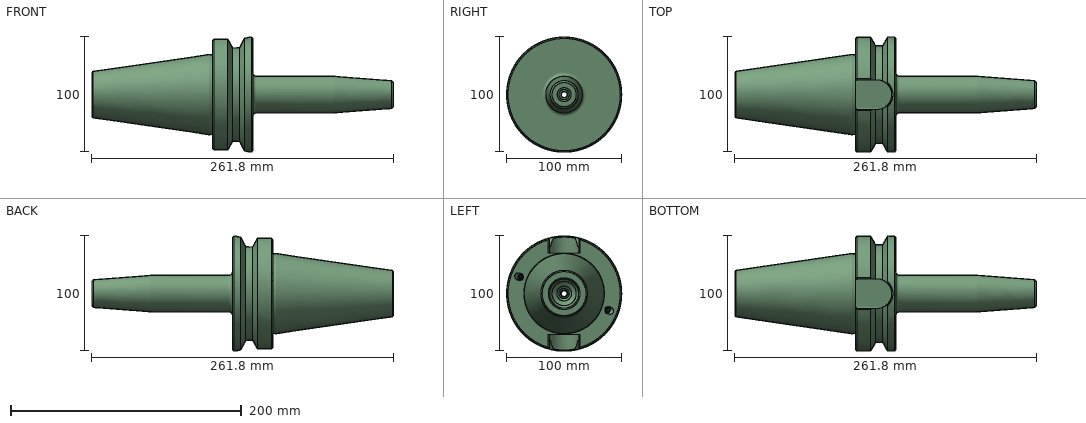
import cadquery as cq
import math


total_length = 261.8
taper_large_dia = 70.0
taper_length = 101.8
taper_ratio = 7 / 24
taper_end_chamfer = 1.0
relief_dia = 69.5
relief_run = 1.8

flange_dia = 100.0
flange_start = 104.7
flange_end = 139.8
flange_chamfer = 1.3
groove_root_dia = 85.0
groove_root_start = 122.3
groove_root_end = 128.3
groove_flank_angle = 30.0

neck_dia = 32.0
neck_fillet = 3.1
nose_start = 210.5
nose_dia = 24.0
nose_chamfer = 1.5

mouth_dia = 27.5
entry_half_angle = 30.0
counterbore_dia = 25.1
counterbore_depth = 11.5
thread_bore_dia = 21.0
thread_bore_depth = 62.8
drill_tip_half_angle = 59.0
pilot_bore_dia = 12.8
pilot_bore_depth = 131.0
coolant_bore_dia = 9.0
tool_bore_dia = 12.0
tool_bore_depth = 47.0

slot_width = 25.7
slot_floor_height = 35.3
slot_end = 136.1
slot_floor_fillet = 0.8
slot_rim_chamfer = 1.0

port_dia = 6.3
port_depth = 15.7
port_circle_radius = 42.0
port_angle = 20.6
port_tilt = 35.0

port_screw_recess = 3.0
port_screw_length = 6.5
port_screw_chamfer = 0.5
port_socket_width = 3.0
port_socket_depth = 2.5
socket_sides = 6

adjusting_screw_length = 13.0
adjusting_screw_hole_dia = 5.0
adjusting_screw_countersink_dia = 6.3

overcut = 2.5
tolerance = 0.03


def revolve_about_x(points):
    """Solid of revolution about the X axis from (x, radius) points."""
    return cq.Workplane("XY").polyline(points).close().revolve(360, (0, 0, 0), (1, 0, 0))


def make_outer_form():
    """Taper shank, grooved flange, neck and nose."""
    taper_small_radius = taper_large_dia / 2 - taper_length * taper_ratio / 2
    taper_chamfer_radius = taper_small_radius + taper_end_chamfer * taper_ratio / 2
    flange_radius = flange_dia / 2
    groove_root_radius = groove_root_dia / 2
    flank_run = (flange_radius - groove_root_radius) * math.tan(math.radians(groove_flank_angle))
    neck_radius = neck_dia / 2
    nose_radius = nose_dia / 2
    nose_slope = (neck_radius - nose_radius) / (total_length - nose_start)
    fillet_middle = neck_fillet * (1 - math.sqrt(0.5))
    profile = (
        cq.Workplane("XY")
        .moveTo(0, 0)
        .lineTo(0, taper_small_radius - taper_end_chamfer)
        .lineTo(taper_end_chamfer, taper_chamfer_radius)
        .lineTo(taper_length, taper_large_dia / 2)
        .lineTo(taper_length + relief_run, relief_dia / 2)
        .lineTo(flange_start, relief_dia / 2)
        .lineTo(flange_start, flange_radius - flange_chamfer)
        .lineTo(flange_start + flange_chamfer, flange_radius)
        .lineTo(groove_root_start - flank_run, flange_radius)
        .lineTo(groove_root_start, groove_root_radius)
        .lineTo(groove_root_end, groove_root_radius)
        .lineTo(groove_root_end + flank_run, flange_radius)
        .lineTo(flange_end - flange_chamfer, flange_radius)
        .lineTo(flange_end, flange_radius - flange_chamfer)
        .lineTo(flange_end, neck_radius + neck_fillet)
        .threePointArc(
            (flange_end + fillet_middle, neck_radius + fillet_middle),
            (flange_end + neck_fillet, neck_radius),
        )
        .lineTo(nose_start, neck_radius)
        .lineTo(total_length - nose_chamfer, nose_radius + nose_slope * nose_chamfer)
        .lineTo(total_length, nose_radius - nose_chamfer)
        .lineTo(total_length, 0)
        .close()
    )
    return profile.revolve(360, (0, 0, 0), (1, 0, 0))


def make_axial_bore():
    """Stepped bore that runs from the shank mouth through to the nose."""
    entry_slope = math.tan(math.radians(entry_half_angle))
    mouth_length = (mouth_dia - counterbore_dia) / 2 / entry_slope
    counterbore_cone = (counterbore_dia - thread_bore_dia) / 2 / entry_slope
    drill_tip_slope = math.tan(math.radians(drill_tip_half_angle))
    thread_drill_tip = (thread_bore_dia - pilot_bore_dia) / 2 / drill_tip_slope
    pilot_drill_tip = (pilot_bore_dia - coolant_bore_dia) / 2 / drill_tip_slope
    tool_bore_start = total_length - tool_bore_depth
    return revolve_about_x(
        [
            (0, 0),
            (0, mouth_dia / 2),
            (mouth_length, counterbore_dia / 2),
            (counterbore_depth, counterbore_dia / 2),
            (counterbore_depth + counterbore_cone, thread_bore_dia / 2),
            (thread_bore_depth, thread_bore_dia / 2),
            (thread_bore_depth + thread_drill_tip, pilot_bore_dia / 2),
            (pilot_bore_depth, pilot_bore_dia / 2),
            (pilot_bore_depth + pilot_drill_tip, coolant_bore_dia / 2),
            (tool_bore_start, coolant_bore_dia / 2),
            (tool_bore_start, tool_bore_dia / 2),
            (total_length, tool_bore_dia / 2),
            (total_length, 0),
        ]
    )


def make_drive_slot():
    """Cutter for the top drive slot: round inner end, filleted floor."""
    slot_radius = slot_width / 2
    arc_center = slot_end - slot_radius
    slot_start = flange_start - overcut
    return (
        cq.Workplane("XY", origin=(0, 0, slot_floor_height))
        .moveTo(slot_start, -slot_radius)
        .lineTo(arc_center, -slot_radius)
        .threePointArc((slot_end, 0), (arc_center, slot_radius))
        .lineTo(slot_start, slot_radius)
        .close()
        .extrude(flange_dia / 2 - slot_floor_height + overcut)
        .faces("<Z")
        .edges("not <X")
        .fillet(slot_floor_fillet)
    )


def make_slot_lead_in():
    """Cutter that chamfers the top slot's walls where they meet the flange's rear face."""
    slot_radius = slot_width / 2
    outline = [
        (flange_start, -slot_radius - slot_rim_chamfer),
        (flange_start + slot_rim_chamfer, -slot_radius),
        (flange_start + slot_rim_chamfer, slot_radius),
        (flange_start, slot_radius + slot_rim_chamfer),
    ]
    return (
        cq.Workplane("XY", origin=(0, 0, slot_floor_height))
        .polyline(outline)
        .close()
        .extrude(flange_dia / 2)
    )


def is_slot_rim(edge):
    """True for an edge where a drive slot breaks out through a cylindrical land of the flange."""
    box = edge.BoundingBox()
    land_height = math.sqrt((flange_dia**2 - slot_width**2) / 4)
    is_inside_slot = max(-box.ymin, box.ymax) < slot_width / 2 + tolerance
    is_at_land = min(abs(box.zmin), abs(box.zmax)) > land_height - tolerance
    is_inside_flange = flange_start < box.xmin and box.xmax < slot_end + tolerance
    return is_inside_slot and is_at_land and is_inside_flange


def place_at_port(shape, angle):
    """Move a shape built along +Z from the origin onto the port at an angle about the X axis."""
    return (
        shape.rotate((0, 0, 0), (0, 1, 0), 90)
        .rotate((0, 0, 0), (0, 0, 1), -port_tilt)
        .translate((flange_start, port_circle_radius, 0))
        .rotate((0, 0, 0), (1, 0, 0), angle)
    )


def make_port():
    """Cutter for one coolant port, built along +Z with its mouth at the origin."""
    return (
        cq.Workplane("XY", origin=(0, 0, -overcut))
        .circle(port_dia / 2)
        .extrude(overcut + port_depth)
    )


def make_port_screw():
    """Headless socket screw that closes one coolant port."""
    socket_corner_dia = port_socket_width / math.cos(math.pi / socket_sides)
    return (
        cq.Workplane("XY", origin=(0, 0, port_screw_recess))
        .circle(port_dia / 2)
        .extrude(port_screw_length)
        .faces("<Z")
        .chamfer(port_screw_chamfer)
        .faces("<Z")
        .workplane()
        .polygon(socket_sides, socket_corner_dia)
        .cutBlind(-port_socket_depth)
    )


def make_adjusting_screw():
    """Hollow screw that fills the coolant bore just behind the tool bore."""
    screw_start = total_length - tool_bore_depth - adjusting_screw_length
    countersink = (adjusting_screw_countersink_dia - adjusting_screw_hole_dia) / 2
    return (
        cq.Workplane("YZ", origin=(screw_start, 0, 0))
        .circle(coolant_bore_dia / 2)
        .circle(adjusting_screw_hole_dia / 2)
        .extrude(adjusting_screw_length)
        .faces("<X")
        .edges("%CIRCLE")
        .edges(cq.selectors.RadiusNthSelector(0))
        .chamfer(countersink)
    )


port_angles = [port_angle, port_angle + 180]

drive_slot = make_drive_slot()
holder = make_outer_form().cut(make_axial_bore())
holder = holder.cut(drive_slot).cut(drive_slot.mirror("XY"))
slot_rims = [edge for edge in holder.edges().vals() if is_slot_rim(edge)]
holder = holder.newObject(slot_rims).chamfer(slot_rim_chamfer)
slot_lead_in = make_slot_lead_in()
holder = holder.cut(slot_lead_in).cut(slot_lead_in.mirror("XY"))
for angle in port_angles:
    holder = holder.cut(place_at_port(make_port(), angle))

port_screws = [place_at_port(make_port_screw(), angle) for angle in port_angles]
adjusting_screw = make_adjusting_screw()

result = cq.Compound.makeCompound(
    [holder.val(), adjusting_screw.val(), *[screw.val() for screw in port_screws]]
)